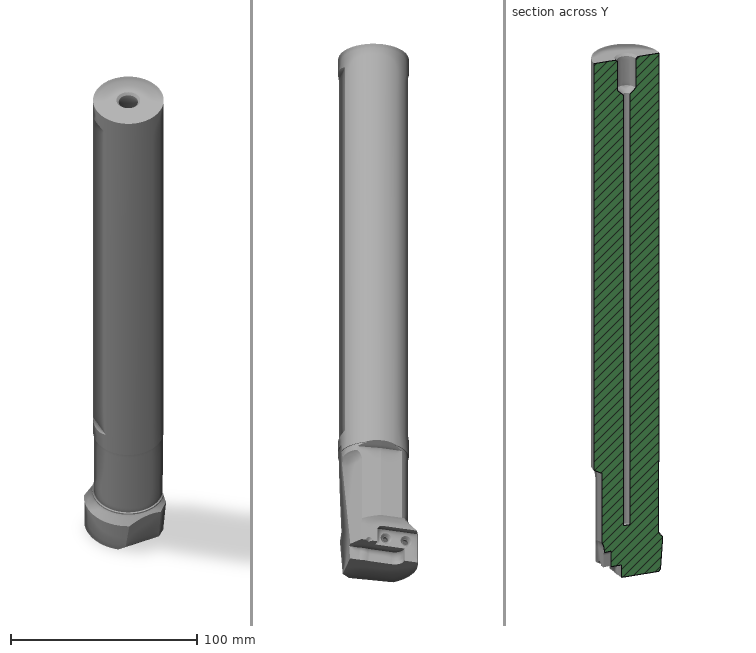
import cadquery as cq
import math

total_length = 303.8

shank_diameter = 38.0
shank_radius = shank_diameter / 2
shank_bottom = 64.5
clamp_flat_offset = 17.3
clamp_flat_bottom = 73.5
clamp_flat_top = 295.0

neck_radius = 18.5
head_depth = 42.8
head_radius = head_depth - shank_radius
bevel_bottom = 17.3
collar_radius = 19.5
collar_height = 1.0
bevel_top = bevel_bottom + head_radius - collar_radius

port_radius = 5.2
port_chamfer = 1.2
port_depth = 18.2
port_cone_depth = 3.0
channel_radius = 1.8
channel_bottom = 30.5

seat_tilt = 5.0
flats_edge = (-14.5, -1.0)
flute_side_flat_turn = -2.0
flat_top = 63.0
flat_runout_top = 65.3
flute_turn = -55.0
flute_edge = (-14.5, 9.0)
flute_straight_top = 55.3
flute_runout_radius = 7.5

relief_angle = 4.0
back_relief_y = 14.3
back_relief_z = 7.3
side_relief_point = (21.5, -8.5, 17.0)
side_relief_turn = 5.0
corner_relief_point = (18.0, 12.0, 17.0)
corner_relief_turn = 42.0
bottom_chamfer_width = 2.5
bottom_chamfer_height = 2.7
bottom_chamfer_x = 21.0

clamp_face_offset = 13.0
clamp_face_runout_radius = 10.0
pocket_offset = 9.0
pocket_top = 17.0
pocket_start = -1.8
pocket_corner_radius = 2.7
seat_height = 7.3
seat_offset = 3.0
seat_end = 14.5
seat_corner_radius = 5.2
screw_positions = (4.3, 15.5)
screw_height = 12.0
screw_head_radius = 3.0
screw_head_depth = 1.5
screw_head_taper = 40.0
screw_socket_radius = 1.5
screw_socket_depth = 3.0
notch_position = -6.5
notch_radius = 1.8
notch_depth = 1.5
notch_taper = 45.0
rib_radius = 10.5
rib_height = 0.3

reach = 60.8
overrun = 3.0


def side_plane(offset, turn):
    """Plane at an offset from the axis facing -X, turned about Z; its local y is +Z."""
    angle = math.radians(turn)
    out_x = -math.cos(angle)
    out_y = -math.sin(angle)
    return cq.Plane((offset * out_x, offset * out_y, 0), (-out_y, out_x, 0), (out_x, out_y, 0))


def offset_through(edge, turn):
    """Distance from the axis to the turned upright face that passes through an (x, y) corner."""
    angle = math.radians(turn)
    return -edge[0] * math.cos(angle) - edge[1] * math.sin(angle)


def profile_plane(offset, turn):
    """Plane whose local x points away from the axis and local y is +Z."""
    face = side_plane(offset, turn)
    return cq.Plane(face.origin, face.zDir, -face.xDir)


def outside(point, normal):
    """Large block on the outer side of the plane through a point."""
    return cq.Workplane(cq.Plane(point, normal=normal)).rect(2 * reach, 2 * reach).extrude(reach)


def relief_normal(turn):
    """Face direction turned from +X towards +Y and leaning downwards by the relief angle."""
    angle = math.radians(turn)
    return math.cos(angle), math.sin(angle), -math.tan(math.radians(relief_angle))


def body():
    outline = (
        cq.Workplane("XZ")
        .moveTo(0, 0)
        .lineTo(head_radius, 0)
        .lineTo(head_radius, bevel_bottom)
        .lineTo(collar_radius, bevel_top)
        .lineTo(collar_radius, bevel_top + collar_height)
        .lineTo(neck_radius, bevel_top + collar_height)
        .lineTo(neck_radius, shank_bottom)
        .lineTo(shank_radius, shank_bottom)
        .lineTo(shank_radius, total_length)
        .lineTo(0, total_length)
        .close()
    )
    return outline.revolve(360, (0, 0, 0), (0, 1, 0))


def clamp_flat(side):
    """Cutter for a long flat with 45 degree ends; side is +1 or -1 along Y."""
    run = shank_radius - clamp_flat_offset
    return (
        cq.Workplane("YZ")
        .moveTo(side * clamp_flat_offset, clamp_flat_bottom + run)
        .lineTo(side * shank_radius, clamp_flat_bottom)
        .lineTo(side * shank_radius, clamp_flat_top)
        .lineTo(side * clamp_flat_offset, clamp_flat_top - run)
        .close()
        .extrude(reach, both=True)
    )


def coolant_bore():
    mouth_radius = port_radius + port_chamfer
    port_bottom = total_length - port_depth
    outline = (
        cq.Workplane("XZ")
        .moveTo(0, total_length)
        .lineTo(mouth_radius, total_length)
        .lineTo(port_radius, total_length - port_chamfer)
        .lineTo(port_radius, port_bottom)
        .lineTo(channel_radius, port_bottom - port_cone_depth)
        .lineTo(channel_radius, channel_bottom)
        .lineTo(0, channel_bottom)
        .close()
    )
    return outline.revolve(360, (0, 0, 0), (0, 1, 0))


def neck_flat(turn):
    """Cutter for a neck flat whose upper end slopes out to the shank shoulder."""
    offset = offset_through(flats_edge, turn)
    return (
        cq.Workplane(profile_plane(offset, turn))
        .moveTo(0, 0)
        .lineTo(0, flat_top)
        .lineTo(shank_radius - offset, flat_runout_top)
        .lineTo(reach, flat_runout_top)
        .lineTo(reach, 0)
        .close()
        .extrude(reach, both=True)
    )


def runout_cut(offset, turn, straight_top, radius):
    """Cutter for a flat face that curves outwards above its straight part."""
    diagonal = radius * math.sqrt(0.5)
    return (
        cq.Workplane(profile_plane(offset, turn))
        .moveTo(0, -overrun)
        .lineTo(0, straight_top)
        .threePointArc(
            (radius - diagonal, straight_top + diagonal),
            (radius, straight_top + radius),
        )
        .lineTo(reach, straight_top + radius)
        .lineTo(reach, -overrun)
        .close()
        .extrude(reach, both=True)
    )


def chip_flute():
    offset = offset_through(flute_edge, flute_turn)
    return runout_cut(offset, flute_turn, flute_straight_top, flute_runout_radius)


def clamp_face():
    return runout_cut(clamp_face_offset, seat_tilt, bevel_bottom, clamp_face_runout_radius)


def screw_pocket():
    """Cutter for the open pocket beneath the clamp face, rounded at its inner upper corner."""
    corner_inset = pocket_corner_radius * (1 - math.sqrt(0.5))
    return (
        cq.Workplane(side_plane(pocket_offset, seat_tilt))
        .moveTo(pocket_start, 0)
        .lineTo(pocket_start, pocket_top - pocket_corner_radius)
        .threePointArc(
            (pocket_start + corner_inset, pocket_top - corner_inset),
            (pocket_start + pocket_corner_radius, pocket_top),
        )
        .lineTo(reach, pocket_top)
        .lineTo(reach, 0)
        .close()
        .extrude(reach)
    )


def insert_seat():
    """Cutter for the low seat, with a round inner corner and a shallow upright rib on its back wall."""
    seat = (
        cq.Workplane(side_plane(seat_offset, seat_tilt))
        .moveTo(-reach, -overrun)
        .lineTo(seat_end, -overrun)
        .lineTo(seat_end, seat_height)
        .lineTo(-reach, seat_height)
        .close()
        .extrude(reach)
    )
    wall = side_plane(seat_offset, seat_tilt)
    rib_centre = wall.toWorldCoords((notch_position, 0, rib_height - rib_radius))
    rib = cq.Workplane("XY", origin=rib_centre.toTuple()).circle(rib_radius).extrude(seat_height)
    inner_corner = cq.selectors.NearestToPointSelector(
        wall.toWorldCoords((seat_end, seat_height / 2, 0)).toTuple()
    )
    return seat.edges(inner_corner).fillet(seat_corner_radius).cut(rib)


def screw_holes():
    positions = [(position, screw_height) for position in screw_positions]
    face = cq.Workplane(side_plane(pocket_offset, seat_tilt)).pushPoints(positions)
    heads = face.circle(screw_head_radius).extrude(-screw_head_depth, taper=screw_head_taper)
    sockets = face.circle(screw_socket_radius).extrude(-screw_socket_depth)
    return heads.union(sockets)


def seat_notch():
    return (
        cq.Workplane(side_plane(clamp_face_offset, seat_tilt))
        .center(notch_position, seat_height)
        .circle(notch_radius)
        .extrude(-notch_depth, taper=notch_taper)
    )


def bottom_chamfer():
    normal = (bottom_chamfer_height, 0, -bottom_chamfer_width)
    return outside((bottom_chamfer_x, 0, bottom_chamfer_height), normal)


def back_relief():
    return outside((0, back_relief_y, back_relief_z), relief_normal(90))


def side_relief():
    return outside(side_relief_point, relief_normal(side_relief_turn))


def corner_relief():
    return outside(corner_relief_point, relief_normal(corner_relief_turn))


cutters = [
    clamp_flat(1),
    clamp_flat(-1),
    coolant_bore(),
    neck_flat(seat_tilt),
    neck_flat(flute_side_flat_turn),
    chip_flute(),
    clamp_face(),
    screw_pocket(),
    insert_seat(),
    screw_holes(),
    seat_notch(),
    bottom_chamfer(),
    back_relief(),
    side_relief(),
    corner_relief(),
]
result = body()
for cutter in cutters:
    result = result.cut(cutter)